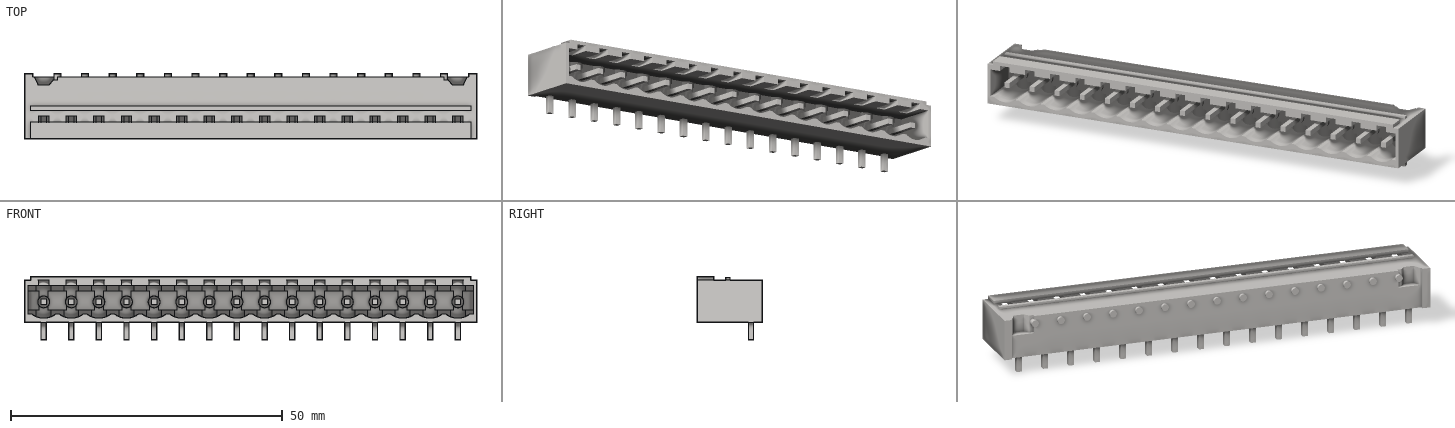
import cadquery as cq
import math


length = 83.2
depth = 12.0
height = 7.7
side_wall = 0.6
spacer_length = 0.6
rear_face_y = depth - spacer_length

contact_count = 16
end_margin = 3.5
pitch = (length - 2 * end_margin) / (contact_count - 1)
pin_size = 1.0
pin_height = 3.75
pin_tip_y = 1.0
leg_length = 3.25
leg_rear_offset = 2.1
leg_y = depth - leg_rear_offset

cavity_depth = 8.5
cavity_floor = 1.5
cavity_roof = 6.7
trough_width = 4.3
trough_depth = 0.75
trough_bottom = cavity_floor - trough_depth

shelf_bottom = 2.25
shelf_top = 5.7
shelf_depth = 0.4
column_radius = 1.8
column_width = 2.75
column_axis_y = cavity_depth + math.sqrt(column_radius**2 - (column_width / 2) ** 2)
collar_diameter = 2.2
collar_depth = 1.0

ledge_inset = 1.1
ledge_width = 3.1
ledge_height = 0.7
rib_front_y = 5.2
rib_width = 0.8
rib_height = 0.5
slot_width = 1.9
slot_depth = 4.2

spacer_diameter = 1.3
spacer_axis_z = 6.4
spacer_root = 0.6
ear_width = 1.5
notch_depth = 1.5
notch_drop = 3.3
notch_floor_start = 2.5
notch_floor_width = 2.0
notch_step_start = 5.2
notch_end = end_margin + pitch / 2

contact_xs = [(i - (contact_count - 1) / 2) * pitch for i in range(contact_count)]
spacer_xs = [x + pitch / 2 for x in contact_xs[:-1]]


def block(x_range, y_range, z_range):
    """Box between the given limits."""
    (x0, x1), (y0, y1), (z0, z1) = x_range, y_range, z_range
    box = cq.Workplane("XY").box(x1 - x0, y1 - y0, z1 - z0, centered=False)
    return box.translate((x0, y0, z0))


def centred(middle, width):
    """Limits of a width centred on a position."""
    return (middle - width / 2, middle + width / 2)


def rod(x, z, diameter, y_start, y_end):
    """Cylinder with its axis along Y."""
    sketch = cq.Workplane("XZ", origin=(x, y_start, z)).circle(diameter / 2)
    return sketch.extrude(y_start - y_end)


def row(make, xs):
    """Separate copies of one shape along the row, kept in a single workplane."""
    copies = cq.Workplane("XY")
    for x in xs:
        copies = copies.add(make(x))
    return copies


def trough(x):
    """Arc-shaped cut in the cavity floor below a pin, open to the front."""
    half_width = trough_width / 2
    return (
        cq.Workplane("XZ", origin=(x, 0, cavity_floor))
        .moveTo(-half_width, 0)
        .threePointArc((0, -trough_depth), (half_width, 0))
        .close()
        .extrude(-cavity_depth)
    )


def slot(x):
    """Keying slot through the housing roof, running under the ledge."""
    return block(centred(x, slot_width), (0, slot_depth), (cavity_roof, height))


def rear_notch():
    """Tapered recess beside the left ear, open to the top and the rear."""
    left = -length / 2
    floor_y = rear_face_y - notch_depth
    step_y = rear_face_y - spacer_root
    return (
        cq.Workplane("XY", origin=(0, 0, height - notch_drop))
        .polyline([
            (left + ear_width, depth),
            (left + notch_floor_start, floor_y),
            (left + notch_floor_start + notch_floor_width, floor_y),
            (left + notch_step_start, step_y),
            (left + notch_end, step_y),
            (left + notch_end, depth),
        ])
        .close()
        .extrude(notch_drop)
    )


def outer_shape():
    """Housing with ears, ledge, rib and rear notches, before the cavity is cut."""
    top_x = centred(0, length - 2 * ledge_inset)
    rib_y = (rib_front_y, rib_front_y + rib_width)
    between_ears = centred(0, length - 2 * ear_width)
    notch = rear_notch()
    return (
        block(centred(0, length), (0, depth), (0, height))
        .cut(block(between_ears, (rear_face_y, depth), (0, height)))
        .union(block(top_x, (0, ledge_width), (height, height + ledge_height)))
        .union(block(top_x, rib_y, (height, height + rib_height)))
        .cut(notch)
        .cut(notch.mirror("YZ"))
    )


def cavity():
    """Space inside the housing, including troughs and keying slots, around the shelf."""
    cavity_x = centred(0, length - 2 * side_wall)
    shelf_y = (cavity_depth - shelf_depth, cavity_depth)
    space = block(cavity_x, (0, cavity_depth), (cavity_floor, cavity_roof))
    space = space.cut(block(cavity_x, shelf_y, (shelf_bottom, shelf_top)))
    return space.union(row(trough, contact_xs)).union(row(slot, contact_xs))


def contact(x):
    """Column and collar on the back wall with the bent pin through them."""
    column_limits = block(
        centred(x, column_width), (0, column_axis_y), (trough_bottom, cavity_roof)
    )
    column = (
        cq.Workplane("XY", origin=(x, column_axis_y, trough_bottom))
        .circle(column_radius)
        .extrude(cavity_roof - trough_bottom)
        .intersect(column_limits)
    )
    collar = rod(x, pin_height, collar_diameter, cavity_depth - collar_depth, cavity_depth)
    pin_x = centred(x, pin_size)
    leg_limits = centred(leg_y, pin_size)
    blade = block(pin_x, (pin_tip_y, leg_limits[1]), centred(pin_height, pin_size))
    leg = block(pin_x, leg_limits, (-leg_length, pin_height))
    return column.union(collar).union(blade).union(leg)


def spacer(x):
    """Round spacer on the rear face, midway between two contacts."""
    return rod(x, spacer_axis_z, spacer_diameter, rear_face_y - spacer_root, depth)


housing = outer_shape().cut(cavity())
header = housing.union(row(contact, contact_xs)).union(row(spacer, spacer_xs))
result = header.solids()